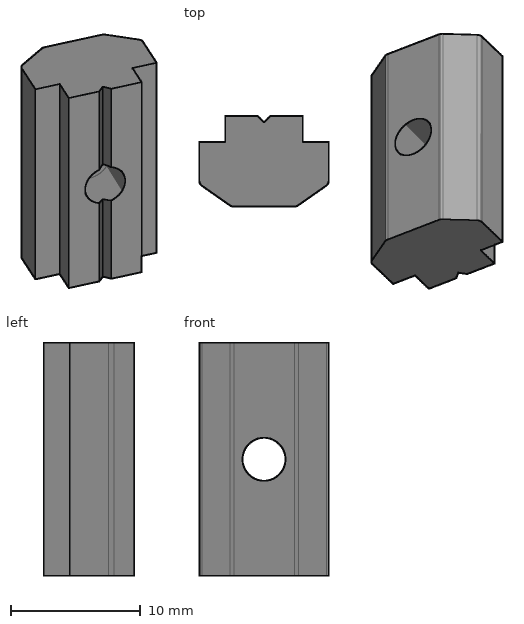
import cadquery as cq
import math

width = 10.0
depth = 7.0
length = 18.0

neck_width = 6.0
neck_height = 2.0

nose_flat_width = 5.0
nose_angle = 35.0
corner_radius = 0.5

groove_width = 1.0
groove_depth = 0.5

hole_diameter = 3.3

front_y = -depth / 2
back_y = depth / 2
shoulder_y = back_y - neck_height
nose_run = (width - nose_flat_width) / 2
nose_rise = nose_run * math.tan(math.radians(nose_angle))
taper_y = front_y + nose_rise


def make_body():
    """T-shaped profile with a tapered nose, extruded along Z."""
    half_profile = [
        (nose_flat_width / 2, front_y),
        (width / 2, taper_y),
        (width / 2, shoulder_y),
        (neck_width / 2, shoulder_y),
        (neck_width / 2, back_y),
        (groove_width / 2, back_y),
    ]
    groove_bottom = (0, back_y - groove_depth)
    mirrored_half = [(-x, y) for x, y in reversed(half_profile)]
    profile = half_profile + [groove_bottom] + mirrored_half
    return cq.Workplane("XY").polyline(profile).close().extrude(length / 2, both=True)


def round_nose_corners(body):
    """Round the four long edges where the tapered faces begin and end."""
    margin = 0.1
    nose_region = cq.selectors.BoxSelector(
        (-width, front_y - margin, -length),
        (width, taper_y + margin, length),
    )
    return body.edges("|Z").edges(nose_region).fillet(corner_radius)


def cut_hole(body):
    """Cut the round hole through the middle of the part along Y."""
    hole = cq.Workplane("XZ").circle(hole_diameter / 2).extrude(depth, both=True)
    return body.cut(hole)


result = cut_hole(round_nose_corners(make_body()))